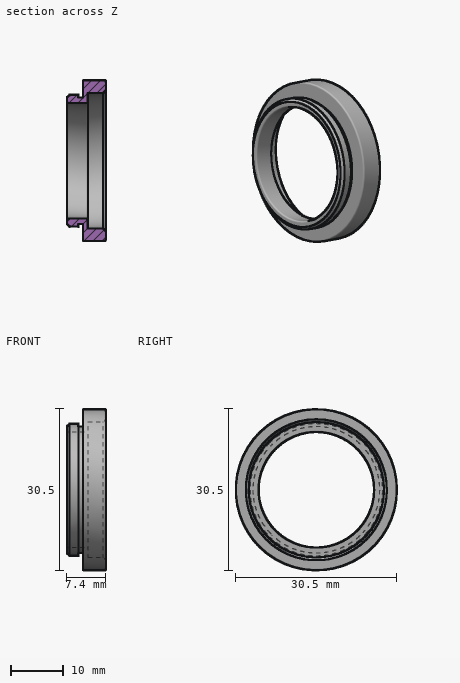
import cadquery as cq
import math

total_length = 7.4
flange_width = 4.4
flange_start = total_length - flange_width
land_end = 2.2
bore_end = 4.0
seat_depth = total_length - bore_end

flange_diameter = 30.5
spigot_diameter = 25.0
neck_diameter = 24.0
bore_diameter = 21.8
seat_diameter = 25.6

tip_chamfer = 0.55
mouth_chamfer = tip_chamfer
edge_radius = 0.3


def disc(start, length, diameter):
    """Solid cylinder on the X axis."""
    return cq.Workplane("YZ", origin=(start, 0, 0)).circle(diameter / 2).extrude(length)


def is_bore_edge(edge):
    """True for a circular edge that bounds the bore."""
    return math.isclose(edge.radius(), bore_diameter / 2, abs_tol=0.003)


spigot = disc(0, land_end, spigot_diameter).faces("<X").chamfer(tip_chamfer)
neck = disc(land_end, flange_start - land_end, neck_diameter)
flange = disc(flange_start, flange_width, flange_diameter).edges().fillet(edge_radius)
body = spigot.union(neck).union(flange)

seat_cutter = disc(bore_end, seat_depth, seat_diameter)
seat_mouth_diameter = seat_diameter + 2 * mouth_chamfer
mouth_start = total_length - mouth_chamfer
mouth_cutter = cq.Workplane(
    cq.Solid.makeCone(
        seat_diameter / 2,
        seat_mouth_diameter / 2,
        mouth_chamfer,
        pnt=cq.Vector(mouth_start, 0, 0),
        dir=cq.Vector(1, 0, 0),
    )
)
body = body.cut(seat_cutter).cut(mouth_cutter)

body = body.cut(disc(0, total_length, bore_diameter))
bore_edges = body.edges("%CIRCLE").filter(is_bore_edge)
result = bore_edges.fillet(edge_radius)